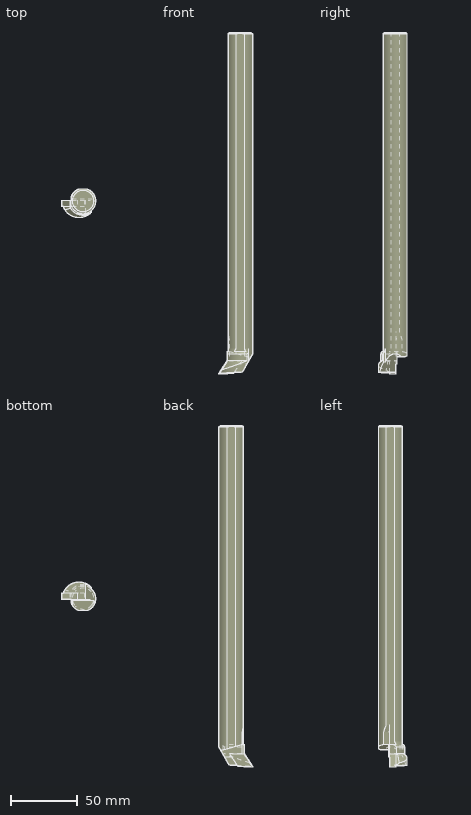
import cadquery as cq
import math


total_length = 255.2
shank_radius = 9.52
flat_distance = 8.98
end_chamfer_radial = 1.5
end_chamfer_height = 1.0

neck_radius = 10.7
neck_bottom = 10.0
shoulder_bottom = 15.0
shoulder_middle = 16.8
shoulder_middle_radius = 10.0
shoulder_top = 19.0
neck_flat_x = -9.7
head_right_x = 6.0

flare_per_height = 0.66
clearance_radius = 12.58
clearance_y = 0.13
clearance_x = -3.0
head_bottom_gap = 0.8
flank_start_x = 1.0
seat_setback = 0.3
flank_angle = 60.7

overall_width = 25.5
tip_x = shank_radius - overall_width
insert_edge = 11.5
insert_thickness = 4.5
insert_face_y = 0.5
lead_angle = 2.0
nose_angle = 55.0
nose_radius = 0.38

web_y = 1.5
web_bottom = 7.5
web_left_x = -8.0
back_left_z = 16.8
back_right_z = 12.8

groove_back_y = 5.0
groove_floor_x = -math.sqrt(shank_radius ** 2 - groove_back_y ** 2)
groove_ramp_start = 26.0
groove_ramp_end = 31.5
groove_fillet = 0.8

reach = 30.6


def prism(points, y_low, y_high):
    """Extrude an XZ outline from y_low to y_high."""
    return cq.Workplane("XZ", origin=(0, y_high, 0)).polyline(points).close().extrude(y_high - y_low)


def block(x_low, x_high, y_low, y_high, z_low, z_high):
    """Axis-aligned block between the given limits."""
    size = (x_high - x_low, y_high - y_low, z_high - z_low)
    return cq.Workplane("XY", origin=(x_low, y_low, z_low)).box(*size, centered=False)


def flat_limits(z_low, z_high):
    """Space inside the three flats of the shank."""
    return block(-flat_distance, reach, -flat_distance, flat_distance, z_low, z_high)


def make_shank():
    outline = [
        (0, 0),
        (shank_radius, 0),
        (shank_radius, total_length - end_chamfer_height),
        (shank_radius - end_chamfer_radial, total_length),
        (0, total_length),
    ]
    round_bar = cq.Workplane("XZ").polyline(outline).close().revolve(360, (0, 0, 0), (0, 1, 0))
    return round_bar.intersect(flat_limits(0, total_length))


def make_head():
    flare_radius = neck_radius + flare_per_height * neck_bottom
    outline = [
        (0, 0),
        (flare_radius, 0),
        (neck_radius, neck_bottom),
        (neck_radius, shoulder_bottom),
        (shoulder_middle_radius, shoulder_middle),
        (shank_radius, shoulder_top),
        (0, shoulder_top),
    ]
    flared = cq.Workplane("XZ").polyline(outline).close().revolve(360, (0, 0, 0), (0, 1, 0))
    clearance = (
        cq.Workplane("XY").center(clearance_x, clearance_y).circle(clearance_radius).extrude(shoulder_top)
    )
    head = flared.intersect(clearance)
    head = head.intersect(block(-reach, head_right_x, -reach, insert_face_y, 0, shoulder_top))
    head = head.cut(block(-reach, neck_flat_x, -reach, reach, neck_bottom, shoulder_top))
    upper_step = block(-reach, reach, -reach, reach, shoulder_middle, shoulder_top)
    return head.cut(upper_step.cut(flat_limits(shoulder_middle, shoulder_top)))


def diamond(nose_x, nose_z, edge):
    """XZ corners of the insert, starting at the cutting nose."""
    low = math.radians(lead_angle)
    high = math.radians(lead_angle + nose_angle)
    along = (edge * math.cos(low), edge * math.sin(low))
    up = (edge * math.cos(high), edge * math.sin(high))
    return [
        (nose_x, nose_z),
        (nose_x + along[0], nose_z + along[1]),
        (nose_x + along[0] + up[0], nose_z + along[1] + up[1]),
        (nose_x + up[0], nose_z + up[1]),
    ]


def make_insert(y_high):
    half_angle = math.radians(nose_angle / 2)
    bisector = math.radians(lead_angle + nose_angle / 2)
    centre_distance = nose_radius / math.sin(half_angle)
    sharp_x = tip_x + nose_radius - centre_distance * math.cos(bisector)
    sharp_z = nose_radius - centre_distance * math.sin(bisector)
    corners = diamond(sharp_x, sharp_z, insert_edge)
    return prism(corners, insert_face_y - insert_thickness, y_high).edges("|Y").fillet(nose_radius)


def flank_relief():
    """Everything to the right of the sloping +X flank."""
    run = reach / math.tan(math.radians(flank_angle))
    points = [(flank_start_x, 0), (reach, 0), (reach, reach), (flank_start_x + run, reach)]
    return prism(points, -reach, reach)


def seat_flank_relief():
    """Sets the head's -X side back from the insert's cutting side, up to the neck flat."""
    start_x = tip_x + seat_setback
    slope = math.tan(math.radians(lead_angle + nose_angle))
    points = [
        (-reach, 0),
        (start_x, 0),
        (neck_flat_x, (neck_flat_x - start_x) * slope),
        (neck_flat_x, neck_bottom),
        (-reach, neck_bottom),
    ]
    return prism(points, -reach, reach)


def bottom_relief():
    """Material below the head's sloping underside."""
    rise = reach * math.tan(math.radians(lead_angle))
    left_z = head_bottom_gap + (-reach - tip_x) * math.tan(math.radians(lead_angle))
    points = [(-reach, 0), (reach, 0), (reach, left_z + 2 * rise), (-reach, left_z)]
    return prism(points, -reach, reach)


def back_relief():
    """Open space under the back half of the shank."""
    points = [(-reach, 0), (reach, 0), (reach, back_right_z), (head_right_x, back_right_z)]
    points += [(groove_floor_x, back_left_z), (-reach, back_left_z)]
    return prism(points, web_y, reach)


def rake_relief():
    """Open space in front of the insert face, up to the web."""
    below_web = block(-reach, reach, insert_face_y, reach, 0, web_bottom)
    beside_web = block(-reach, web_left_x, insert_face_y, reach, 0, back_left_z)
    return below_web.union(beside_web)


def chip_groove():
    points = [
        (-reach, back_left_z),
        (groove_floor_x, back_left_z),
        (groove_floor_x, groove_ramp_start),
        (-flat_distance, groove_ramp_end),
        (-reach, groove_ramp_end),
    ]
    groove = prism(points, insert_face_y, reach)
    floor_edge = cq.selectors.NearestToPointSelector(
        (groove_floor_x, insert_face_y, (back_left_z + groove_ramp_start) / 2)
    )
    return groove.edges(floor_edge).fillet(groove_fillet)


insert = make_insert(insert_face_y)

holder = make_shank().union(make_head())
reliefs = [
    flank_relief(),
    seat_flank_relief(),
    bottom_relief(),
    back_relief(),
    rake_relief(),
    chip_groove(),
]
for relief in reliefs:
    holder = holder.cut(relief)
holder = holder.cut(make_insert(reach))

result = cq.Compound.makeCompound([holder.solids().val(), insert.val()])